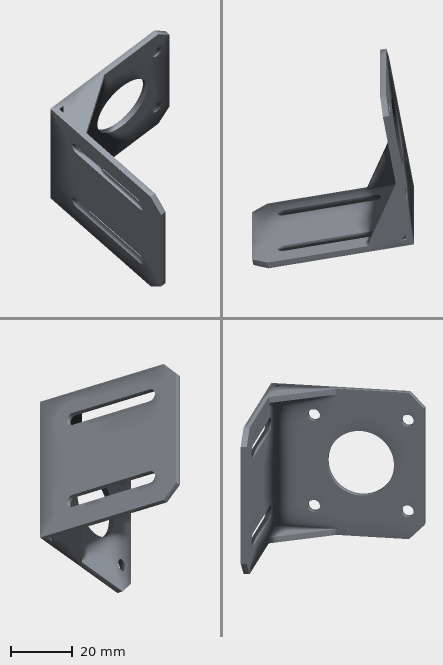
import cadquery as cq

foot_length = 53.0
motor_length = 51.0
height = 50.0
thickness = 2.0
corner_cut = 5.0

slot_width = 4.4
slot_length = 34.2
slot_center_x = 27.5
slot_spacing = 30.1

motor_center_y = 30.0
pilot_diameter = 22.0
screw_diameter = 4.0
screw_spacing = 31.0

gusset_thickness = 2.0
gusset_reach_x = 15.0
gusset_reach_y = 22.0
relief_leg = 2.0


def make_plate(plane, length, extrusion):
    """Rectangular plate with both corners of its free end cut off."""
    half_height = height / 2
    return (
        cq.Workplane(plane)
        .moveTo(0, -half_height)
        .lineTo(length - corner_cut, -half_height)
        .lineTo(length, corner_cut - half_height)
        .lineTo(length, half_height - corner_cut)
        .lineTo(length - corner_cut, half_height)
        .lineTo(0, half_height)
        .close()
        .extrude(extrusion)
    )


def make_foot_plate():
    slots = (
        cq.Workplane("XZ")
        .pushPoints([(slot_center_x, side * slot_spacing / 2) for side in (-1, 1)])
        .slot2D(slot_length, slot_width)
        .extrude(-thickness)
    )
    return make_plate("XZ", foot_length, -thickness).cut(slots)


def make_motor_plate():
    pilot_hole = cq.Workplane("YZ").center(motor_center_y, 0).circle(pilot_diameter / 2).extrude(thickness)
    screw_holes = (
        cq.Workplane("YZ")
        .center(motor_center_y, 0)
        .rarray(screw_spacing, screw_spacing, 2, 2)
        .circle(screw_diameter / 2)
        .extrude(thickness)
    )
    return make_plate("YZ", motor_length, thickness).cut(pilot_hole).cut(screw_holes)


def make_gusset(bottom_z):
    """Triangular web with a small triangular relief in the inside corner."""
    inside = (thickness, thickness)
    web = (
        cq.Workplane("XY", origin=(0, 0, bottom_z))
        .polyline([(0, 0), (gusset_reach_x, 0), (gusset_reach_x, thickness),
                   (thickness, gusset_reach_y), (0, gusset_reach_y)])
        .close()
        .extrude(gusset_thickness)
    )
    relief = (
        cq.Workplane("XY", origin=(0, 0, bottom_z))
        .polyline([inside, (thickness + relief_leg, thickness), (thickness, thickness + relief_leg)])
        .close()
        .extrude(gusset_thickness)
    )
    return web.cut(relief)


result = make_foot_plate().union(make_motor_plate())
for gusset_bottom in (-height / 2, height / 2 - gusset_thickness):
    result = result.union(make_gusset(gusset_bottom))